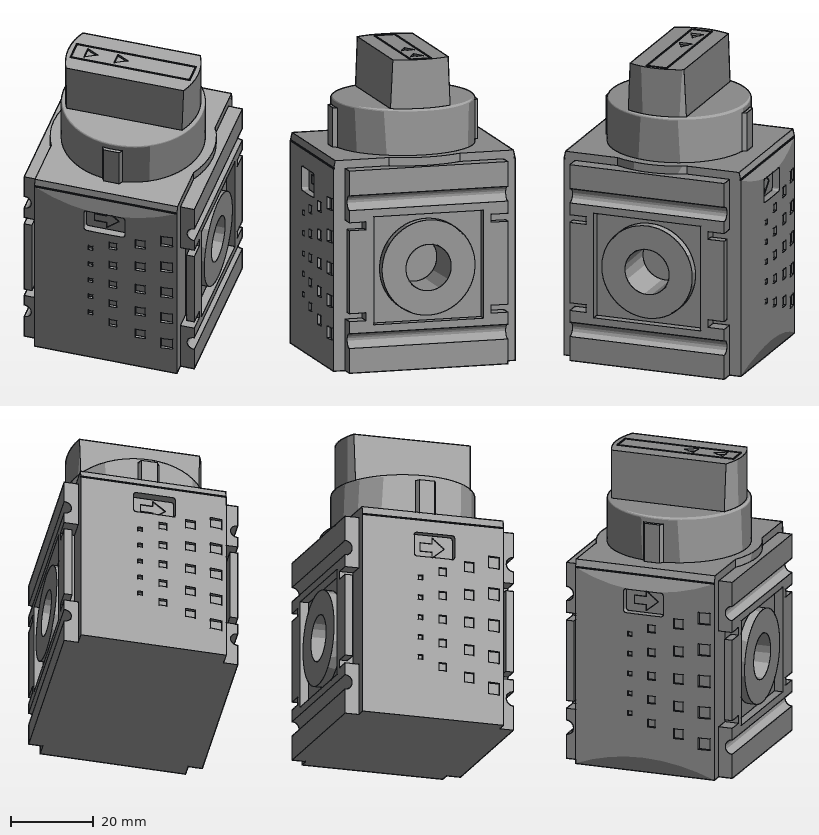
import cadquery as cq
import math


core_half_x = 18.0
side_edge_y = 23.0
side_crest_y = 24.1
body_height = 49.9
top_crest_z = 46.2
bottom_crest_z = 3.9
mid_z = body_height / 2

plate_top_z = 51.95
plate_top_half_y = 22.5
lobe_radius = 20.1
parting_groove_height = 0.2
parting_groove_depth = 0.2

flange_half_x = 43.0 / 2
flange_half_y = 20.0
groove_radius = 1.8
groove_spacing_z = 34.0
notch_inner_y = 15.8
notch_outer_half_z = 12.2
tab_half_z = 10.25
tab_thickness = 1.95

pocket_half_y = 13.85
pocket_half_z = 13.3
pocket_depth = 2.2
boss_radius = 11.75
bore_radius = 5.7
bore_depth = 12.05

window_width = 10.3
window_bottom_z = 40.35
window_top_z = 46.4
window_corner_radius = 0.7
window_floor_y = 22.15
arrow_depth = 0.15
arrow_half_length = 3.1
arrow_shaft_half = 1.05
arrow_head_half = 2.55

pit_columns = [(-3.55, 1.1), (2.1, 1.95), (8.95, 2.5), (15.4, 2.9)]
pit_rows = 5
first_pit_pitch = 5.05
pit_pitch_step = 1.0
pit_depth = 0.7

collar_radius = 17.5
collar_top_z = 63.25
collar_round = 0.6
key_top_z = 61.7
key_outer_y = 18.3
key_outer_half_x = 1.95
key_base_half_x = 2.55
lever_radius = 16.4
lever_top_z = 75.3
lever_top_half_y = 7.0
lever_base_half_y = 7.5
frame_half_x = 15.1
frame_half_y = 2.7
frame_width = 0.2
frame_depth = 0.15
triangle_tips_x = [-8.95, -1.35]
triangle_length = 3.0
triangle_half_width = 1.65
triangle_depth = 0.5


def box(x_range, y_range, z_range):
    """Box between two limits along each axis."""
    return cq.Workplane("XY").box(
        x_range[1] - x_range[0], y_range[1] - y_range[0], z_range[1] - z_range[0], centered=False
    ).translate((x_range[0], y_range[0], z_range[0]))


def both_ends(shape):
    """A shape together with its copy turned half a turn about Z."""
    return shape.union(shape.rotate((0, 0, 0), (0, 0, 1), 180))


def bulge_y(x):
    """Half depth of the bulged side at a given X."""
    rise = side_crest_y - side_edge_y
    radius = (core_half_x**2 + rise**2) / (2 * rise)
    return side_crest_y - radius + math.sqrt(radius**2 - x**2)


def make_core():
    """Block with bulged front and back, cut to a sloping profile at top and bottom."""
    plan = (
        cq.Workplane("XY")
        .moveTo(-core_half_x, -side_edge_y)
        .threePointArc((0, -side_crest_y), (core_half_x, -side_edge_y))
        .lineTo(core_half_x, side_edge_y)
        .threePointArc((0, side_crest_y), (-core_half_x, side_edge_y))
        .close()
        .extrude(plate_top_z)
    )
    half_profile = [
        (side_edge_y, 0),
        (side_crest_y, bottom_crest_z),
        (side_crest_y, top_crest_z),
        (side_edge_y, body_height),
        (plate_top_half_y, plate_top_z),
    ]
    mirrored_profile = [(-y, z) for y, z in reversed(half_profile)]
    profile = (
        cq.Workplane("YZ")
        .polyline(half_profile + mirrored_profile)
        .close()
        .extrude(core_half_x, both=True)
    )
    lobes = cq.Workplane("XY").workplane(offset=body_height).circle(lobe_radius).extrude(
        plate_top_z - body_height
    )
    return plan.intersect(profile).union(lobes)


def make_parting_groove():
    """Cutter for the fine groove across the -Y side, just below the top plate."""
    return box(
        (-core_half_x, core_half_x),
        (-side_crest_y, -side_edge_y + parting_groove_depth),
        (body_height, body_height + parting_groove_height),
    )


def make_flange():
    """Flange on the -X end with its cross grooves, clip notches, port pocket and boss."""
    flange = box((-flange_half_x, -core_half_x), (-flange_half_y, flange_half_y), (0, body_height))
    for side in (-1, 1):
        groove = (
            cq.Workplane("XZ")
            .center(-flange_half_x, mid_z + side * groove_spacing_z / 2)
            .circle(groove_radius)
            .extrude(flange_half_y, both=True)
        )
        flange = flange.cut(groove)

        notch_y = sorted((side * notch_inner_y, side * flange_half_y))
        notch = box(
            (-flange_half_x, -core_half_x),
            notch_y,
            (mid_z - notch_outer_half_z, mid_z + notch_outer_half_z),
        )
        tab = box(
            (-flange_half_x, -flange_half_x + tab_thickness),
            notch_y,
            (mid_z - tab_half_z, mid_z + tab_half_z),
        )
        flange = flange.cut(notch.cut(tab))

    pocket = box(
        (-flange_half_x, -flange_half_x + pocket_depth),
        (-pocket_half_y, pocket_half_y),
        (mid_z - pocket_half_z, mid_z + pocket_half_z),
    )
    return flange.cut(pocket.cut(port_cylinder(boss_radius, pocket_depth)))


def port_cylinder(radius, depth):
    """Cylinder along the port axis, starting at the -X flange face."""
    return (
        cq.Workplane("YZ")
        .workplane(offset=-flange_half_x)
        .center(0, mid_z)
        .circle(radius)
        .extrude(depth)
    )


def make_window():
    """Cutter for the rounded window in the -Y side, with an arrow sunk in its floor."""
    center_z = (window_bottom_z + window_top_z) / 2
    opening = (
        cq.Workplane("XZ", origin=(0, -window_floor_y, center_z))
        .rect(window_width, window_top_z - window_bottom_z)
        .extrude(side_crest_y - window_floor_y)
        .edges("|Y")
        .fillet(window_corner_radius)
    )
    arrow = (
        cq.Workplane("XZ", origin=(0, -window_floor_y, center_z))
        .polyline([
            (-arrow_half_length, -arrow_shaft_half),
            (0, -arrow_shaft_half),
            (0, -arrow_head_half),
            (arrow_half_length, 0),
            (0, arrow_head_half),
            (0, arrow_shaft_half),
            (-arrow_half_length, arrow_shaft_half),
        ])
        .close()
        .extrude(-arrow_depth)
    )
    return opening.union(arrow)


def make_pits():
    """Cutter for the square pits in the -Y side, growing in size and spacing towards +X."""
    pits = cq.Workplane("XY")
    for column, (x, size) in enumerate(pit_columns):
        pitch = first_pit_pitch + column * pit_pitch_step
        floor_y = bulge_y(x) - pit_depth
        pits = pits.add(
            cq.Workplane("XZ", origin=(x, -floor_y, mid_z))
            .rarray(pitch, pitch, 1, pit_rows)
            .rect(size, size)
            .extrude(side_crest_y - floor_y)
        )
    return pits.combine()


def make_housing():
    housing = make_core().union(both_ends(make_flange()))
    housing = housing.cut(both_ends(make_parting_groove()))
    housing = housing.cut(both_ends(port_cylinder(bore_radius, bore_depth)))
    housing = housing.cut(both_ends(make_window()))
    return housing.cut(both_ends(make_pits()))


def make_collar():
    """Round collar resting on the top plate, with a tapered key at front and back."""
    collar = (
        cq.Workplane("XY")
        .workplane(offset=plate_top_z)
        .circle(collar_radius)
        .extrude(collar_top_z - plate_top_z)
        .faces(">Z")
        .edges()
        .fillet(collar_round)
    )
    key_base_y = math.sqrt(collar_radius**2 - key_base_half_x**2)
    key = (
        cq.Workplane("XY")
        .workplane(offset=plate_top_z)
        .polyline([
            (0, 0),
            (-key_base_half_x, -key_base_y),
            (-key_outer_half_x, -key_outer_y),
            (key_outer_half_x, -key_outer_y),
            (key_base_half_x, -key_base_y),
        ])
        .close()
        .extrude(key_top_z - plate_top_z)
    )
    return collar.union(both_ends(key))


def make_lever():
    """Grip bar with round ends, its long faces leaning in towards the top."""
    lever_height = lever_top_z - collar_top_z
    drum = cq.Workplane("XY").workplane(offset=collar_top_z).circle(lever_radius).extrude(lever_height)
    wedge = (
        cq.Workplane("YZ")
        .polyline([
            (-lever_base_half_y, collar_top_z),
            (lever_base_half_y, collar_top_z),
            (lever_top_half_y, lever_top_z),
            (-lever_top_half_y, lever_top_z),
        ])
        .close()
        .extrude(lever_radius, both=True)
    )
    return drum.intersect(wedge)


def make_lever_marks():
    """Cutter for the fine frame groove and the two triangles in the top of the lever."""
    top = cq.Workplane("XY").workplane(offset=lever_top_z)
    marks = (
        top.rect(2 * frame_half_x, 2 * frame_half_y)
        .rect(2 * (frame_half_x - frame_width), 2 * (frame_half_y - frame_width))
        .extrude(-frame_depth)
    )
    for tip_x in triangle_tips_x:
        base_x = tip_x - triangle_length
        triangle = (
            top.polyline([(tip_x, 0), (base_x, triangle_half_width), (base_x, -triangle_half_width)])
            .close()
            .extrude(-triangle_depth)
        )
        marks = marks.add(triangle)
    return marks.combine()


def make_knob():
    return make_collar().union(make_lever()).cut(make_lever_marks())


housing = make_housing()
knob = make_knob()
result = cq.Compound.makeCompound([housing.val(), knob.val()])